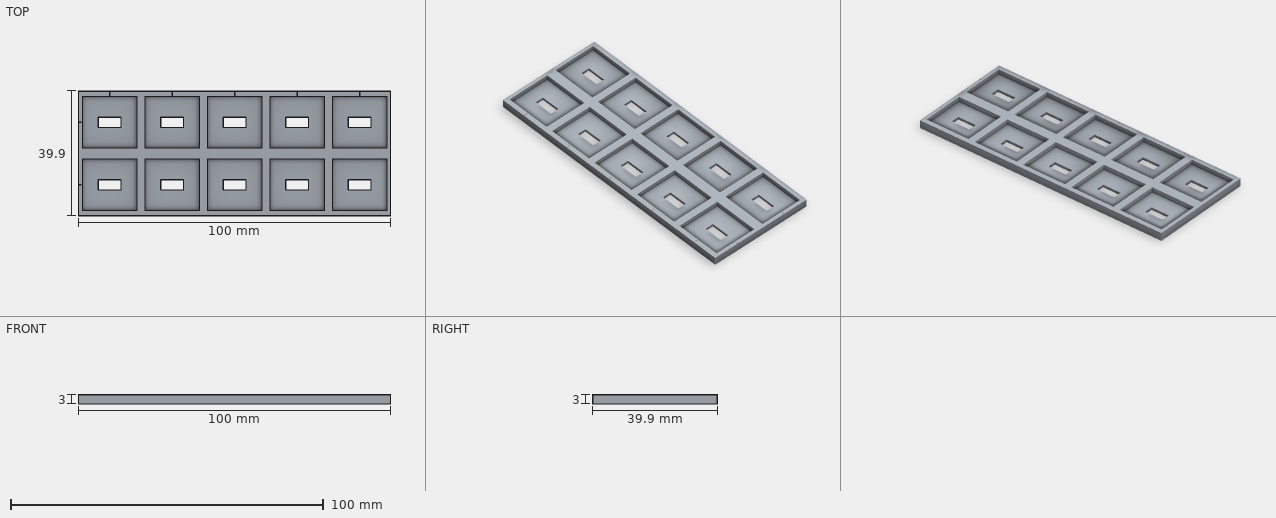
import cadquery as cq

length = 99.95
width = 39.9
thickness = 3.0

columns = 5
rows = 2
pitch = 20.0

pocket_length = 17.4
pocket_width = 16.4
floor_thickness = 1.0
pocket_depth = thickness - floor_thickness

window_length = 7.2
window_width = 3.2

groove_width = 0.15
groove_depth = 0.3
groove_end_gap = 0.4
column_groove_length = (pitch - pocket_width) / 2 - groove_end_gap
row_groove_length = (pitch - pocket_length) / 2 - groove_end_gap

column_centers = [(i + 0.5) * pitch for i in range(columns)]
row_centers = [width - (j + 0.5) * pitch for j in range(rows)]
cell_centers = [(x, y) for x in column_centers for y in row_centers]


def top_recesses(centers, size_x, size_y, depth):
    """Boxes reaching down from the top face, one at each center."""
    return (
        cq.Workplane("XY", origin=(0, 0, thickness - depth))
        .pushPoints(centers)
        .rect(size_x, size_y)
        .extrude(depth)
    )


def make_plate():
    return cq.Workplane("XY").box(length, width, thickness, centered=False)


def make_pockets():
    return top_recesses(cell_centers, pocket_length, pocket_width, pocket_depth)


def make_windows():
    return top_recesses(cell_centers, window_length, window_width, thickness)


def make_column_grooves():
    """One groove per column, running in from the +Y edge."""
    centers = [(x, width - column_groove_length / 2) for x in column_centers]
    return top_recesses(centers, groove_width, column_groove_length, groove_depth)


def make_row_grooves():
    """One groove per row, running in from the -X edge."""
    centers = [(row_groove_length / 2, y) for y in row_centers]
    return top_recesses(centers, row_groove_length, groove_width, groove_depth)


result = (
    make_plate()
    .cut(make_pockets())
    .cut(make_windows())
    .cut(make_column_grooves())
    .cut(make_row_grooves())
)